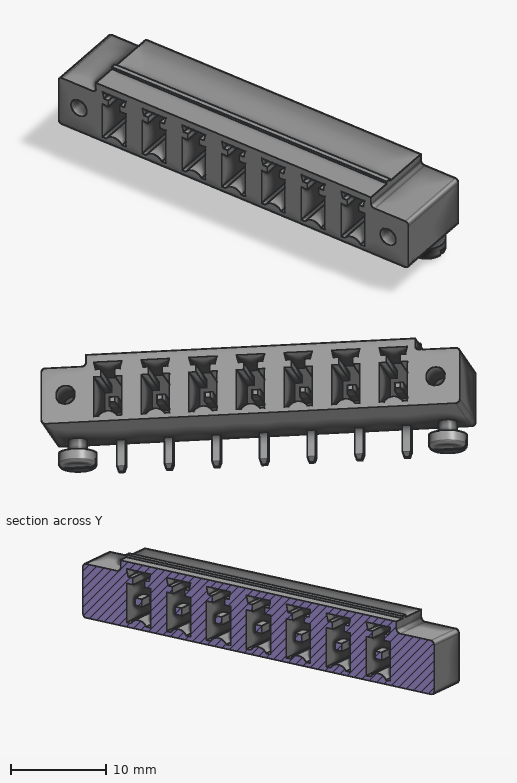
import cadquery as cq

length = 44.7
depth = 9.2
ear_height = 6.05
block_length = 35.1
block_height = 7.3
corner_radius = 0.45
front_y = -depth / 2

rib_width = 0.6
rib_height = 0.25
rib_y = -1.4

contact_count = 7
row_span = 30.45
pitch = row_span / (contact_count - 1)
contact_xs = [(i - (contact_count - 1) / 2) * pitch for i in range(contact_count)]
axis_z = 3.05

pocket_width = 3.0
pocket_depth = 6.25
pocket_floor_z = 0.55
shoulder_z = 4.83
neck_width = 1.47
neck_top_z = 5.65
key_bottom_width = 2.6
pocket_top_z = 6.45
hump_width = 2.0
hump_height = 0.55

pin_width = 0.9
pin_tip_chamfer = 0.2
pin_tip_length = 0.6
pin_y = 3.4
pin_bottom_z = -3.4
contact_recess = 2.7

flange_x = 19.75
hole_diameter = 2.0
hole_depth = 4.45
screw_y = 2.5
shank_diameter = 2.0
head_diameter = 4.0
head_top_z = -1.45
head_bottom_z = -3.0
head_edge_radius = 0.55
slot_width = 0.55
slot_depth = 0.85

embed = 1.35


def make_housing():
    """Ears and raised block as one stepped bar with rounded corners and a top rib."""
    ears = cq.Workplane("XY").box(length, depth, ear_height, centered=(True, True, False))
    block = cq.Workplane("XY").box(block_length, depth, block_height, centered=(True, True, False))
    body = ears.union(block).edges("|Y and (not >Z)").fillet(corner_radius)
    rib = cq.Workplane("XY").box(block_length, rib_width, rib_height + embed, centered=(True, True, False))
    return body.union(rib.translate((0, rib_y, block_height - embed)))


def make_pocket(x):
    """Pocket with a narrow neck, a flared key slot above and a rounded hump on the floor."""
    half = pocket_width / 2
    neck = neck_width / 2
    key = key_bottom_width / 2
    hump = hump_width / 2
    return (
        cq.Workplane("XZ", origin=(x, front_y, 0))
        .moveTo(-half, pocket_floor_z)
        .lineTo(-hump, pocket_floor_z)
        .threePointArc((0, pocket_floor_z + hump_height), (hump, pocket_floor_z))
        .lineTo(half, pocket_floor_z)
        .lineTo(half, shoulder_z)
        .lineTo(neck, shoulder_z)
        .lineTo(neck, neck_top_z)
        .lineTo(key, neck_top_z)
        .lineTo(half, pocket_top_z)
        .lineTo(-half, pocket_top_z)
        .lineTo(-key, neck_top_z)
        .lineTo(-neck, neck_top_z)
        .lineTo(-neck, shoulder_z)
        .lineTo(-half, shoulder_z)
        .close()
        .extrude(-pocket_depth)
    )


def make_square_pin(pin_length):
    """Square pin from the origin along +Z with a tapered tip at Z = 0."""
    tip_width = pin_width - 2 * pin_tip_chamfer
    tip = (
        cq.Workplane("XY")
        .rect(tip_width, tip_width)
        .workplane(offset=pin_tip_length)
        .rect(pin_width, pin_width)
        .loft(ruled=True)
    )
    shaft = (
        cq.Workplane("XY", origin=(0, 0, pin_tip_length))
        .rect(pin_width, pin_width)
        .extrude(pin_length - pin_tip_length)
    )
    return tip.union(shaft)


def make_contact(x):
    """Forward-facing leg inside the pocket and solder leg below the housing."""
    contact_y = front_y + contact_recess
    forward_leg = make_square_pin(pin_y - contact_y).rotate((0, 0, 0), (1, 0, 0), -90)
    solder_leg = make_square_pin(axis_z - pin_bottom_z)
    return (
        forward_leg.translate((x, contact_y, axis_z)),
        solder_leg.translate((x, pin_y, pin_bottom_z)),
    )


def make_flange_hole(x):
    """Blind hole in the front of an ear."""
    return cq.Workplane("XZ", origin=(x, front_y, axis_z)).circle(hole_diameter / 2).extrude(-hole_depth)


def make_screw(x):
    """Slotted round-edged screw hanging below an ear."""
    head = (
        cq.Workplane("XY", origin=(x, screw_y, head_bottom_z))
        .circle(head_diameter / 2)
        .extrude(head_top_z - head_bottom_z)
        .faces("<Z")
        .edges()
        .fillet(head_edge_radius)
    )
    slot = cq.Workplane("XY").box(head_diameter, slot_width, slot_depth, centered=(True, True, False))
    head = head.cut(slot.translate((x, screw_y, head_bottom_z)))
    shank = (
        cq.Workplane("XY", origin=(x, screw_y, head_top_z))
        .circle(shank_diameter / 2)
        .extrude(embed - head_top_z)
    )
    return head.union(shank)


result = make_housing()

for contact_x in contact_xs:
    result = result.cut(make_pocket(contact_x))
    for leg in make_contact(contact_x):
        result = result.union(leg)

for ear_x in (-flange_x, flange_x):
    result = result.cut(make_flange_hole(ear_x))
    result = result.union(make_screw(ear_x))